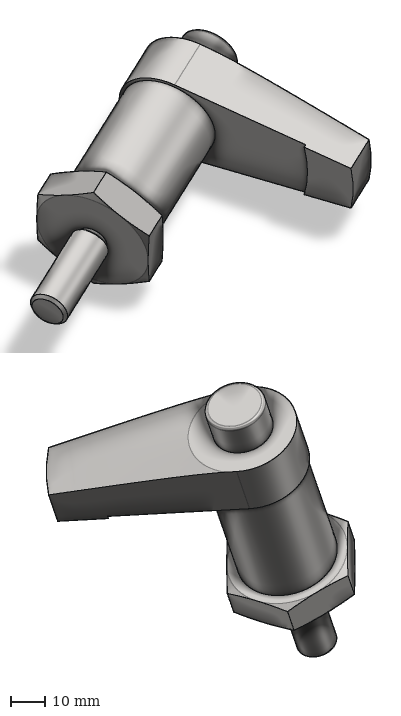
import cadquery as cq
import math


STUD_DIAMETER = 12.0
STUD_LENGTH = 30.0
STUD_CHAMFER = 1.0
NECK_DIAMETER = 9.4
NECK_LENGTH = 1.2
NECK_TAPER_LENGTH = 0.8

NUT_ACROSS_FLATS = 36.0
NUT_THICKNESS = 10.0
NUT_CHAMFER_ANGLE = 15.0
NUT_ENVELOPE_MARGIN = 1.1

BODY_DIAMETER = 30.0
BODY_LENGTH = 41.0

LEVER_THICKNESS = 17.0
HUB_RADIUS = 16.0
LEVER_REACH = 60.0
LEVER_TAPER_ANGLE = 6.8
LEVER_FLAT_RADIUS = 16.4
LEVER_BACK_DROP = 5.9
PAD_HEIGHT = 1.0
PAD_START = 45.2
PAD_ARC_RADIUS = 54.5

BUTTON_DIAMETER = 18.0
BUTTON_LENGTH = 11.0
BUTTON_FILLET = 1.0

lever_front = NUT_THICKNESS + BODY_LENGTH
lever_back = lever_front + LEVER_THICKNESS


def cylinder_along_y(radius, y_start, length, x_center=0.0):
    """Solid cylinder running toward +Y from y_start."""
    plane = cq.Workplane("XZ", origin=(x_center, y_start, 0))
    return plane.circle(radius).extrude(-length)


def revolve_about_y(profile_points):
    """Solid of revolution from a closed (radius, y) profile."""
    return cq.Workplane("XY").polyline(profile_points).close().revolve(360, (0, 0), (0, 1))


def make_stud():
    radius = STUD_DIAMETER / 2
    neck_radius = NECK_DIAMETER / 2
    return revolve_about_y([
        (0, 0),
        (neck_radius, 0),
        (neck_radius, -NECK_LENGTH),
        (radius, -NECK_LENGTH - NECK_TAPER_LENGTH),
        (radius, -STUD_LENGTH + STUD_CHAMFER),
        (radius - STUD_CHAMFER, -STUD_LENGTH),
        (0, -STUD_LENGTH),
    ])


def make_nut():
    """Hexagon with corners on +Z and -Z, cone-chamfered on both faces."""
    across_corners = NUT_ACROSS_FLATS / math.cos(math.radians(30))
    hexagon = (
        cq.Workplane("XZ")
        .transformed(rotate=(0, 0, 90))
        .polygon(6, across_corners)
        .extrude(-NUT_THICKNESS)
    )
    face_radius = NUT_ACROSS_FLATS / 2
    outer_radius = across_corners / 2 + NUT_ENVELOPE_MARGIN
    drop = (outer_radius - face_radius) * math.tan(math.radians(NUT_CHAMFER_ANGLE))
    chamfer_envelope = revolve_about_y([
        (0, 0),
        (face_radius, 0),
        (outer_radius, drop),
        (outer_radius, NUT_THICKNESS - drop),
        (face_radius, NUT_THICKNESS),
        (0, NUT_THICKNESS),
    ])
    return hexagon.intersect(chamfer_envelope)


def make_lever():
    """Tapered lever tangent to its round hub, with a conical back and a raised grip pad."""
    taper = math.radians(LEVER_TAPER_ANGLE)
    tangent_x = HUB_RADIUS * math.sin(taper)
    tangent_z = HUB_RADIUS * math.cos(taper)
    tip_angle = math.pi / 2 - taper - math.acos(HUB_RADIUS / LEVER_REACH)
    tip_x = LEVER_REACH * math.cos(tip_angle)
    tip_z = LEVER_REACH * math.sin(tip_angle)
    pad_front = lever_front - PAD_HEIGHT
    blank = (
        cq.Workplane("XZ", origin=(0, pad_front, 0))
        .moveTo(tangent_x, tangent_z)
        .lineTo(tip_x, tip_z)
        .threePointArc((LEVER_REACH, 0), (tip_x, -tip_z))
        .lineTo(tangent_x, -tangent_z)
        .threePointArc((-HUB_RADIUS, 0), (tangent_x, tangent_z))
        .close()
        .extrude(-(PAD_HEIGHT + LEVER_THICKNESS))
    )
    back_envelope = revolve_about_y([
        (0, pad_front),
        (LEVER_REACH, pad_front),
        (LEVER_REACH, lever_back - LEVER_BACK_DROP),
        (LEVER_FLAT_RADIUS, lever_back),
        (0, lever_back),
    ])
    front_relief = cylinder_along_y(PAD_ARC_RADIUS, pad_front, PAD_HEIGHT, PAD_START - PAD_ARC_RADIUS)
    return blank.intersect(back_envelope).cut(front_relief)


def make_button():
    button = cylinder_along_y(BUTTON_DIAMETER / 2, lever_back, BUTTON_LENGTH)
    return button.faces(">Y").edges().fillet(BUTTON_FILLET)


body = cylinder_along_y(BODY_DIAMETER / 2, NUT_THICKNESS, BODY_LENGTH)
result = make_stud().union(make_nut()).union(body).union(make_lever()).union(make_button())